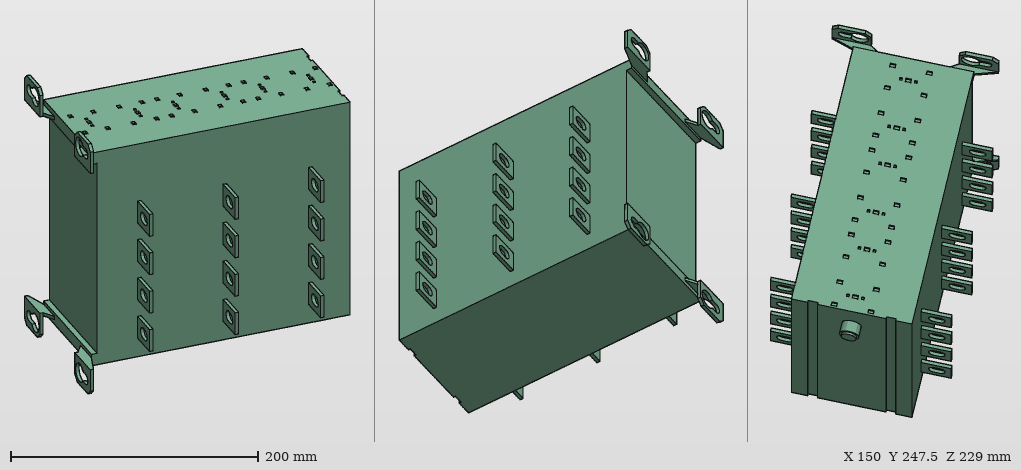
import cadquery as cq

BODY_WIDTH = 100.0
BODY_DEPTH = 227.0
BODY_HEIGHT = 195.0
FRONT_RECESS_HEIGHT = 174.0
FRONT_RECESS_DEPTH = 5.0
BACK_GROOVE_WIDTH = 8.0
BACK_GROOVE_DEPTH = 1.7
BACK_GROOVE_X = 32.5

CONNECTOR_Z = 70.0
CONNECTOR_DIAMETER = 16.0
CONNECTOR_LENGTH = 9.5
CONNECTOR_TIP_DIAMETER = 12.5
CONNECTOR_TIP_LENGTH = 2.0

SHEET_THICKNESS = 3.0

TERMINAL_SPAN = 150.0
TERMINAL_HEIGHT = 20.0
TERMINAL_COLUMNS = 3
TERMINAL_COLUMN_PITCH = 75.0
TERMINAL_FIRST_COLUMN_Y = -35.0
TERMINAL_ROWS = 4
TERMINAL_ROW_PITCH = 35.2
TERMINAL_TOP_ROW_Z = TERMINAL_ROW_PITCH
TERMINAL_SLOT_X = 63.0
TERMINAL_SLOT_LENGTH = 13.5
TERMINAL_SLOT_WIDTH = 9.0

FOOT_PROJECTION = 9.0
FOOT_INNER_X = 36.5
FOOT_OUTER_X = 69.0
FOOT_INNER_Z = 90.0
FOOT_OUTER_Z = 114.5
FOOT_CHAMFER = 5.0
ARM_ROOT_INNER_X = 27.0
ARM_ROOT_OUTER_X = BODY_WIDTH / 2
KEYHOLE_Z = 103.5
KEYHOLE_HEAD_X = 46.5
KEYHOLE_HEAD_DIAMETER = 16.0
KEYHOLE_SLOT_END_X = 59.0
KEYHOLE_SLOT_WIDTH = 9.0

POCKET_DEPTH = 2.0
POCKET_LENGTH = 4.5
POCKET_WIDTH = 3.0
SMALL_POCKET_SIZE = 2.0
CORNER_POCKET_X = 15.2
CORNER_POCKET_Y = 10.0
SMALL_POCKET_X = 6.2
POCKET_FIRST_GROUP_Y = -13.3
POCKET_PAIR_COUNT = 3
POCKET_PAIR_PITCH = 76.0
POCKET_GROUP_OFFSET = 42.7

SIDES = (-1, 1)


def make_body():
    """Block with a shallow front recess between two lips and two grooves down its back."""
    body = cq.Workplane("XY").box(BODY_WIDTH, BODY_DEPTH, BODY_HEIGHT).translate((0, -BODY_DEPTH / 2, 0))
    recess = cq.Workplane("XY").box(BODY_WIDTH, FRONT_RECESS_DEPTH, FRONT_RECESS_HEIGHT)
    body = body.cut(recess.translate((0, FRONT_RECESS_DEPTH / 2 - BODY_DEPTH, 0)))
    groove = cq.Workplane("XY").box(BACK_GROOVE_WIDTH, BACK_GROOVE_DEPTH, BODY_HEIGHT)
    for side in SIDES:
        body = body.cut(groove.translate((side * BACK_GROOVE_X, -BACK_GROOVE_DEPTH / 2, 0)))
    return body


def make_connector():
    """Stepped cylinder pointing backwards along +Y."""
    return (
        cq.Workplane("XZ", origin=(0, 0, CONNECTOR_Z))
        .circle(CONNECTOR_DIAMETER / 2)
        .extrude(-CONNECTOR_LENGTH)
        .faces(">Y")
        .workplane()
        .circle(CONNECTOR_TIP_DIAMETER / 2)
        .extrude(CONNECTOR_TIP_LENGTH)
    )


def make_terminal_bar():
    """Left and right tab of one terminal, joined through the body, centred on the origin."""
    return (
        cq.Workplane("XZ")
        .rect(TERMINAL_SPAN, TERMINAL_HEIGHT)
        .extrude(SHEET_THICKNESS / 2, both=True)
        .faces("<Y")
        .workplane(origin=(0, 0, 0))
        .pushPoints([(side * TERMINAL_SLOT_X, 0) for side in SIDES])
        .slot2D(TERMINAL_SLOT_LENGTH, TERMINAL_SLOT_WIDTH)
        .cutThruAll()
    )


def add_terminals(body):
    """Place the terminals in a grid of columns along Y and rows along Z."""
    bar = make_terminal_bar()
    for column in range(TERMINAL_COLUMNS):
        y = TERMINAL_FIRST_COLUMN_Y - column * TERMINAL_COLUMN_PITCH
        for row in range(TERMINAL_ROWS):
            z = TERMINAL_TOP_ROW_Z - row * TERMINAL_ROW_PITCH
            body = body.union(bar.translate((0, y, z)))
    return body


def make_foot():
    """Bent foot of the +X, +Z corner: a splayed arm and an upright plate with a keyhole."""
    front_y = -BODY_DEPTH - FOOT_PROJECTION
    plate_back_y = front_y + SHEET_THICKNESS
    arm = (
        cq.Workplane("XY", origin=(0, 0, FOOT_INNER_Z))
        .moveTo(ARM_ROOT_INNER_X, -BODY_DEPTH)
        .lineTo(ARM_ROOT_OUTER_X, -BODY_DEPTH)
        .lineTo(FOOT_OUTER_X, plate_back_y)
        .lineTo(FOOT_INNER_X, plate_back_y)
        .close()
        .extrude(SHEET_THICKNESS)
    )
    plate = (
        cq.Workplane("XZ", origin=(0, plate_back_y, 0))
        .moveTo(FOOT_INNER_X, FOOT_INNER_Z)
        .lineTo(FOOT_OUTER_X, FOOT_INNER_Z)
        .lineTo(FOOT_OUTER_X, FOOT_OUTER_Z)
        .lineTo(FOOT_INNER_X, FOOT_OUTER_Z)
        .close()
        .extrude(SHEET_THICKNESS)
        .edges("|Y and >Z")
        .chamfer(FOOT_CHAMFER)
    )
    return arm.union(plate).cut(make_keyhole(plate_back_y))


def make_keyhole(plate_back_y):
    """Cutter for the keyhole: a round head with a round-ended slot running outwards."""
    plane = cq.Workplane("XZ", origin=(0, plate_back_y, KEYHOLE_Z))
    head = plane.center(KEYHOLE_HEAD_X, 0).circle(KEYHOLE_HEAD_DIAMETER / 2).extrude(SHEET_THICKNESS)
    slot_run = KEYHOLE_SLOT_END_X - KEYHOLE_HEAD_X
    slot = (
        plane.center(KEYHOLE_HEAD_X + slot_run / 2, 0)
        .slot2D(slot_run + KEYHOLE_SLOT_WIDTH, KEYHOLE_SLOT_WIDTH)
        .extrude(SHEET_THICKNESS)
    )
    return head.union(slot)


def add_feet(body):
    """Mirror the foot to all four front corners."""
    upper_right = make_foot()
    upper_left = upper_right.mirror("YZ")
    for foot in (upper_right, upper_left):
        body = body.union(foot).union(foot.mirror("XY"))
    return body


def cut_pocket_group(body, group_y):
    """One group: four corner pockets around a centre pocket flanked by two small square ones."""
    corners = [(x * CORNER_POCKET_X, y * CORNER_POCKET_Y) for x in SIDES for y in SIDES]
    flanks = [(side * SMALL_POCKET_X, 0) for side in SIDES]
    plane = cq.Workplane("XY", origin=(0, group_y, BODY_HEIGHT / 2))
    large = plane.pushPoints(corners + [(0, 0)]).rect(POCKET_LENGTH, POCKET_WIDTH).extrude(-POCKET_DEPTH)
    small = plane.pushPoints(flanks).rect(SMALL_POCKET_SIZE, SMALL_POCKET_SIZE).extrude(-POCKET_DEPTH)
    return body.cut(large).cut(small)


def cut_top_pockets(body):
    """Pairs of pocket groups repeated along the top face."""
    for pair in range(POCKET_PAIR_COUNT):
        pair_y = POCKET_FIRST_GROUP_Y - pair * POCKET_PAIR_PITCH
        for group_y in (pair_y, pair_y - POCKET_GROUP_OFFSET):
            body = cut_pocket_group(body, group_y)
    return body


result = make_body().union(make_connector())
result = add_terminals(result)
result = add_feet(result)
result = cut_top_pockets(result)